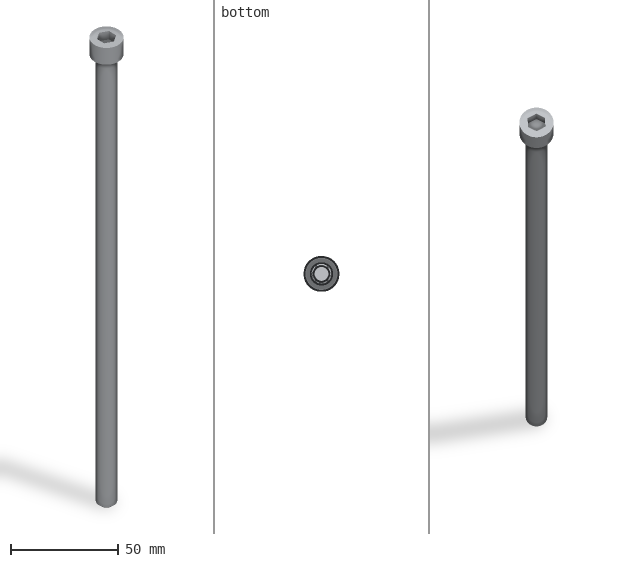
import cadquery as cq
import math

total_length = 280.0
head_diameter = 16.0
head_height = 10.0
shank_diameter = 10.0
tip_chamfer = 1.5
socket_width = 8.0
socket_depth = head_height / 2
head_base = total_length - head_height


def cylinder(diameter, bottom, height):
    return cq.Workplane("XY", origin=(0, 0, bottom)).circle(diameter / 2).extrude(height)


shank = cylinder(shank_diameter, 0, head_base).faces("<Z").chamfer(tip_chamfer)
head = cylinder(head_diameter, head_base, head_height)

socket_corner_diameter = socket_width / math.cos(math.radians(30))
socket = (
    cq.Workplane("XY", origin=(0, 0, total_length))
    .polygon(6, socket_corner_diameter)
    .extrude(-socket_depth)
)

result = shank.union(head).cut(socket)